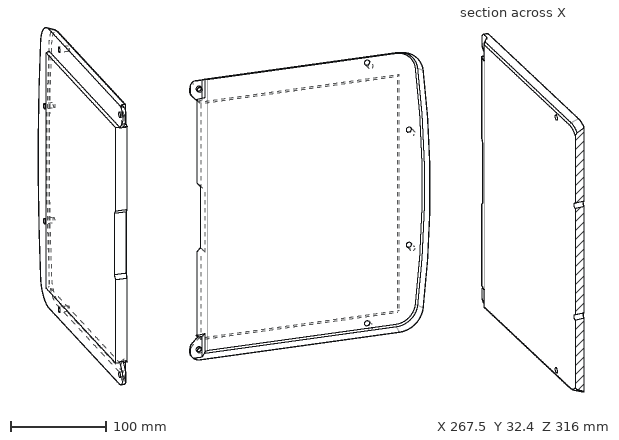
import cadquery as cq
import math

half_width = 158.0
panel_length = 268.0
tilt_angle = 3.9

plate_thickness = 10.7
bevel_height = 2.2
flank_height = plate_thickness - bevel_height
flank_draft = 20.0
bevel_draft = 40.0

bow_depth = 10.7
corner_radius = 26.8

ear_radius = 10.7
ear_x = panel_length - ear_radius
ear_y = half_width - ear_radius
body_end = 257.7
ear_thickness = 3.8
ear_step_x = 253.5
ear_step_run = 6.3
ear_tip_bevel = 1.5
end_slope_start = 244.7
end_slope_drop = 2.5

pad_start = 34.7
pad_half_width = 133.3
pad_height = 4.5
pad_chamfer = 3.5

notch_depth = 4.0
notch_half_width = 38.8

hole_diameter = 5.7
side_hole_x = 66.5
left_hole_x = 20.0
left_hole_y = 65.0

overcut = 15.8


def drafted_plate():
    """Plate with drafted edges, running past the right end."""
    outline = (
        cq.Sketch()
        .segment((bow_depth, half_width), (panel_length + overcut, half_width))
        .segment((panel_length + overcut, -half_width))
        .segment((bow_depth, -half_width))
        .arc((0, 0), (bow_depth, half_width))
        .assemble()
        .vertices("<X")
        .fillet(corner_radius)
    )
    flank = cq.Workplane().placeSketch(outline).extrude(flank_height, taper=flank_draft)
    bevel = flank.faces(">Z").wires().toPending().extrude(bevel_height, taper=bevel_draft, combine=False)
    return flank.union(bevel)


def end_outline():
    """Prism that trims the right end to the straight body end and the two ears."""
    diagonal = ear_radius * math.sqrt(0.5)
    tangent_x = ear_x + diagonal
    tangent_y = ear_y - diagonal
    root_y = tangent_y - (tangent_x - body_end)
    return (
        cq.Workplane()
        .moveTo(-overcut, half_width)
        .lineTo(ear_x, half_width)
        .threePointArc((panel_length, ear_y), (tangent_x, tangent_y))
        .lineTo(body_end, root_y)
        .lineTo(body_end, -root_y)
        .lineTo(tangent_x, -tangent_y)
        .threePointArc((panel_length, -ear_y), (ear_x, -half_width))
        .lineTo(-overcut, -half_width)
        .close()
        .extrude(plate_thickness)
    )


def ear_relief(side):
    """Cutter that thins one ear, bevels its tip and slopes the step up to full thickness."""
    profile = [
        (ear_step_x, ear_thickness),
        (ear_step_x - ear_step_run, plate_thickness),
        (panel_length, plate_thickness),
        (panel_length, ear_thickness - ear_tip_bevel),
        (panel_length - ear_tip_bevel, ear_thickness),
    ]
    rim_width = half_width - pad_half_width
    cutter = cq.Workplane("XZ").polyline(profile).close().extrude(rim_width / 2, both=True)
    return cutter.translate((0, side * (pad_half_width + rim_width / 2), 0))


def end_slope():
    """Cutter that slopes the back face down towards the body end."""
    return (
        cq.Workplane("XZ")
        .moveTo(end_slope_start, plate_thickness)
        .lineTo(body_end, plate_thickness - end_slope_drop)
        .lineTo(panel_length, plate_thickness - end_slope_drop)
        .lineTo(panel_length, plate_thickness)
        .close()
        .extrude(half_width, both=True)
    )


def pad():
    """Raised pad with a sloped left side."""
    return (
        cq.Workplane("XZ")
        .moveTo(pad_start, 0)
        .lineTo(pad_start + pad_chamfer, -pad_height)
        .lineTo(body_end, -pad_height)
        .lineTo(body_end, 0)
        .close()
        .extrude(pad_half_width, both=True)
    )


def notch():
    """Through notch in the body end, with 45 degree sides."""
    floor_x = body_end - notch_depth
    floor_half_width = notch_half_width - notch_depth
    return (
        cq.Workplane(origin=(0, 0, -pad_height))
        .moveTo(body_end, notch_half_width)
        .lineTo(floor_x, floor_half_width)
        .lineTo(floor_x, -floor_half_width)
        .lineTo(body_end, -notch_half_width)
        .close()
        .extrude(pad_height + plate_thickness)
    )


def holes():
    """Screw holes through the rim, in pairs mirrored about the centre."""
    pairs = [(side_hole_x, ear_y), (left_hole_x, left_hole_y), (ear_x, ear_y)]
    points = [(x, side * y) for x, y in pairs for side in (1, -1)]
    return cq.Workplane().pushPoints(points).circle(hole_diameter / 2).extrude(plate_thickness)


panel = drafted_plate().intersect(end_outline()).cut(end_slope())
for side in (1, -1):
    panel = panel.cut(ear_relief(side))
panel = panel.union(pad()).cut(notch()).cut(holes())

upright = panel.rotate((0, 0, 0), (1, 0, 0), -90)
result = upright.rotate((0, 0, 0), (0, 0, 1), -tilt_angle)